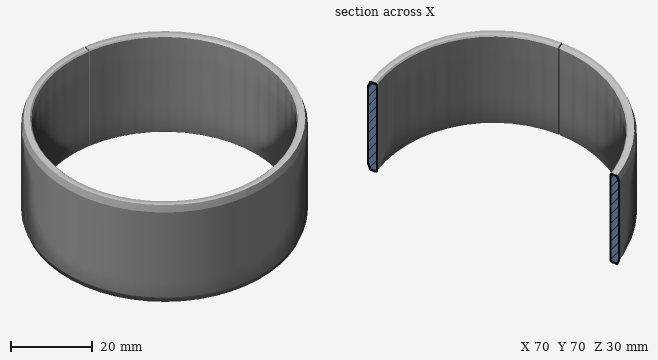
import cadquery as cq

outer_radius = 35.0
wall = 2.5
length = 30.0
outer_chamfer_height = 1.8
outer_chamfer_depth = 0.6
inner_chamfer = 0.35
slit_width = 0.4
slit_edge_y = 0.15

inner_radius = outer_radius - wall
half_length = length / 2
shoulder_z = half_length - outer_chamfer_height
outer_rim_radius = outer_radius - outer_chamfer_depth
inner_rim_radius = inner_radius + inner_chamfer
bore_edge_z = half_length - inner_chamfer


def make_ring():
    """Revolve the wall section, chamfered at all four corners."""
    section = [
        (inner_radius, -bore_edge_z),
        (inner_rim_radius, -half_length),
        (outer_rim_radius, -half_length),
        (outer_radius, -shoulder_z),
        (outer_radius, shoulder_z),
        (outer_rim_radius, half_length),
        (inner_rim_radius, half_length),
        (inner_radius, bore_edge_z),
    ]
    return cq.Workplane("XZ").polyline(section).close().revolve(360, (0, 0, 0), (0, 1, 0))


def make_slit():
    """Full-height cutter that opens the ring on its -X side."""
    return (
        cq.Workplane("XY")
        .box(outer_radius, slit_width, length, centered=(False, False, True))
        .translate((-outer_radius, slit_edge_y, 0))
    )


result = make_ring().cut(make_slit())